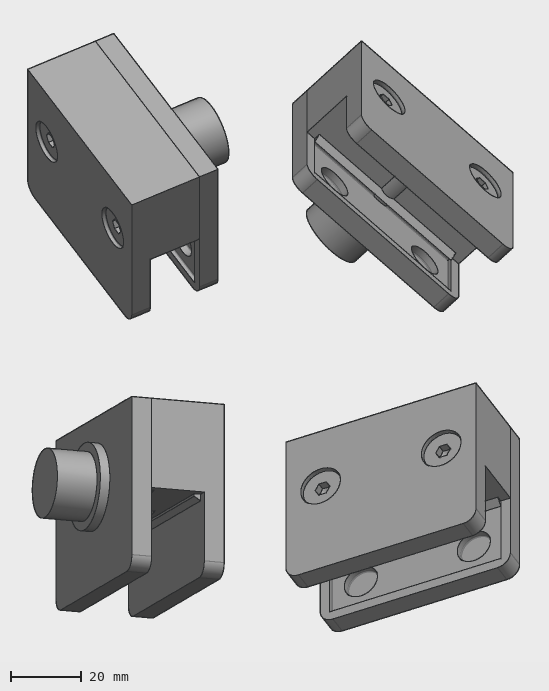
import cadquery as cq
import math


width = 60.0
total_depth = 42.9
height = 50.0
corner_radius = 4.0

housing_depth = 22.0
leg_thickness = 6.05
block_height = 26.0
block_bottom = height - block_height
gap = housing_depth - leg_thickness

wedge_inset = 3.0
wedge_size = 1.9
front_wedge_tip = 0.7

floor_fillet = 0.2

plate_thickness = 6.0
pocket_inset = 3.0
pocket_depth = 1.3
blind_hole_radius = 5.2
blind_hole_depth = 2.4
blind_hole_x = 17.8
blind_hole_z = 11.7

axis_z = 30.0
post_radius = 9.95
post_length = 12.0
flange_radius = 12.6
flange_thickness = total_depth - housing_depth - plate_thickness - post_length
spigot_radius = 6.5
spigot_depth = 11.5

screw_x = 19.0
recess_radius = 6.25
head_radius = recess_radius - floor_fillet
head_recess = 1.25
head_thickness = 3.0
shank_radius = 3.0
shank_end = plate_thickness / 2
hex_flats = 4.0
hex_depth = 2.3
drill_angle = 118
hex_corners = hex_flats / math.cos(math.radians(30))
hex_tip_depth = hex_corners / 2 / math.tan(math.radians(drill_angle / 2))
head_face_y = head_recess - housing_depth
head_seat_y = head_face_y + head_thickness


def slab(thickness, y_front, x_size, z_low, z_high):
    """Rectangular slab centred on X, from y_front towards +Y."""
    block = cq.Workplane("XY").box(x_size, thickness, z_high - z_low, centered=(True, False, False))
    return block.translate((0, y_front, z_low))


def rod(radius, y_front, y_back, x, z):
    """Cylinder along Y."""
    solid = cq.Solid.makeCylinder(radius, y_back - y_front, cq.Vector(x, y_front, z), cq.Vector(0, 1, 0))
    return cq.Workplane("XY").add(solid)


def rounded_leg(thickness, y_front):
    """Full-height plate with its two bottom corners rounded."""
    return slab(thickness, y_front, width, 0, height).edges("|Y and <Z").fillet(corner_radius)


def wedge(profile):
    """Prism along X under the block, from (y, z) points."""
    length = width - 2 * wedge_inset
    return cq.Workplane("YZ").polyline(profile).close().extrude(length / 2, both=True)


def make_housing():
    """Block and front leg, with wedges, a blind bore for the stud and stepped screw holes."""
    body = rounded_leg(leg_thickness, -housing_depth)
    body = body.union(slab(gap, -gap, width, block_bottom, height))
    rear_profile = [(0, block_bottom), (-wedge_size, block_bottom), (0, block_bottom - wedge_size)]
    front_profile = [
        (-gap, block_bottom),
        (wedge_size - gap, block_bottom),
        (wedge_size - gap, block_bottom - front_wedge_tip),
        (-gap, block_bottom - wedge_size),
    ]
    body = body.union(wedge(rear_profile)).union(wedge(front_profile))
    body = body.cut(rod(spigot_radius, -spigot_depth, 0, 0, axis_z))
    for x in (-screw_x, screw_x):
        recess = rod(recess_radius, -housing_depth, head_face_y, x, axis_z)
        body = body.cut(recess.edges(">Y").fillet(floor_fillet))
        body = body.cut(rod(head_radius, head_face_y, head_seat_y, x, axis_z))
        body = body.cut(rod(shank_radius, head_seat_y, 0, x, axis_z))
    return body


def make_back_plate():
    """Rear leg with a shallow pocket facing the gap and two blind holes in its floor."""
    body = rounded_leg(plate_thickness, 0)
    pocket = slab(pocket_depth, 0, width - 2 * pocket_inset, pocket_inset, block_bottom)
    body = body.cut(pocket.faces(">Y").edges().fillet(floor_fillet))
    for x in (-blind_hole_x, blind_hole_x):
        hole = rod(blind_hole_radius, 0, pocket_depth + blind_hole_depth, x, blind_hole_z)
        body = body.cut(hole.edges(">Y").fillet(floor_fillet))
    for x in (-screw_x, screw_x):
        body = body.cut(rod(shank_radius, 0, shank_end, x, axis_z))
    return body.cut(rod(spigot_radius, 0, plate_thickness, 0, axis_z))


def make_stud():
    """Spigot, flange and post on one axis."""
    flange_back = plate_thickness + flange_thickness
    body = rod(spigot_radius, -spigot_depth, plate_thickness, 0, axis_z)
    body = body.union(rod(flange_radius, plate_thickness, flange_back, 0, axis_z))
    return body.union(rod(post_radius, flange_back, flange_back + post_length, 0, axis_z))


def make_screw(x):
    """Screw with a hexagon socket that ends in a drilled cone."""
    body = rod(head_radius, head_face_y, head_seat_y, x, axis_z)
    body = body.union(rod(shank_radius, head_seat_y, shank_end, x, axis_z))
    socket_plane = cq.Plane(origin=(x, head_face_y, axis_z), xDir=(1, 0, 0), normal=(0, 1, 0))
    socket = cq.Workplane(socket_plane).polygon(6, hex_corners).extrude(hex_depth)
    tip_start = cq.Vector(x, head_face_y + hex_depth, axis_z)
    tip = cq.Solid.makeCone(hex_corners / 2, 0, hex_tip_depth, tip_start, cq.Vector(0, 1, 0))
    tip_prism = cq.Workplane(socket_plane).polygon(6, hex_corners).extrude(hex_depth + hex_tip_depth)
    return body.cut(socket).cut(tip_prism.intersect(cq.Workplane("XY").add(tip)))


housing = make_housing()
back_plate = make_back_plate()
stud = make_stud()
screws = [make_screw(x) for x in (-screw_x, screw_x)]

result = cq.Compound.makeCompound(
    [housing.val(), back_plate.val(), stud.val(), *[screw.val() for screw in screws]]
)